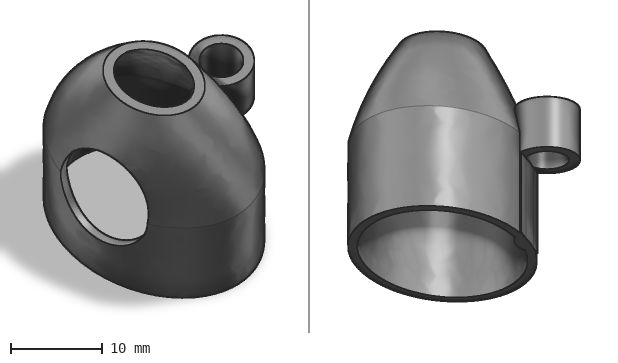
import cadquery as cq

wall = 1.2
base_wall_y = 1.0
base_rx = 13.2
base_ry = 10.0
middle_rx = 10.8
middle_ry = 7.75
top_rx = 6.0
top_ry = 4.8
height = 24.0
seam_z = height / 2
middle_z = (seam_z + height) / 2

window_diameter = 12.0

ring_outer_diameter = 7.2
ring_hole_diameter = 4.8
ring_y = 11.98
ring_bottom_z = 9.6
ring_top_z = 15.62
flat_y = 9.95


def shell_solid(inset, lower_inset_y):
    """Base and dome as a solid, reduced by the inset; the base and middle use their own Y inset."""
    base = cq.Workplane("XY").ellipse(base_rx - inset, base_ry - lower_inset_y).extrude(seam_z)
    dome = (
        cq.Workplane("XY", origin=(0, 0, seam_z))
        .ellipse(base_rx - inset, base_ry - lower_inset_y)
        .workplane(offset=middle_z - seam_z)
        .ellipse(middle_rx - inset, middle_ry - lower_inset_y)
        .workplane(offset=height - middle_z)
        .ellipse(top_rx - inset, top_ry - inset)
        .loft(combine=True)
    )
    return base.union(dome)


def ring_cylinder(diameter, bottom_z, top_z):
    """Vertical cylinder on the ring axis."""
    return (
        cq.Workplane("XY", origin=(0, ring_y, bottom_z))
        .circle(diameter / 2)
        .extrude(top_z - bottom_z)
    )


shell = shell_solid(0, 0).cut(shell_solid(wall, base_wall_y))

window = (
    cq.Workplane("XZ", origin=(0, 0, seam_z))
    .circle(window_diameter / 2)
    .extrude(base_ry + wall)
)

ring = ring_cylinder(ring_outer_diameter, ring_bottom_z, ring_top_z)

rib_depth = flat_y - (ring_y - ring_outer_diameter / 2)
rib_envelope = (
    cq.Workplane("XY", origin=(0, flat_y - rib_depth / 2, 0))
    .rect(ring_outer_diameter, rib_depth)
    .extrude(ring_bottom_z)
)
rib = ring_cylinder(ring_outer_diameter, 0, ring_bottom_z).intersect(rib_envelope)

ring_hole = ring_cylinder(ring_hole_diameter, ring_bottom_z, ring_top_z)

result = shell.cut(window).union(ring).union(rib).cut(ring_hole)